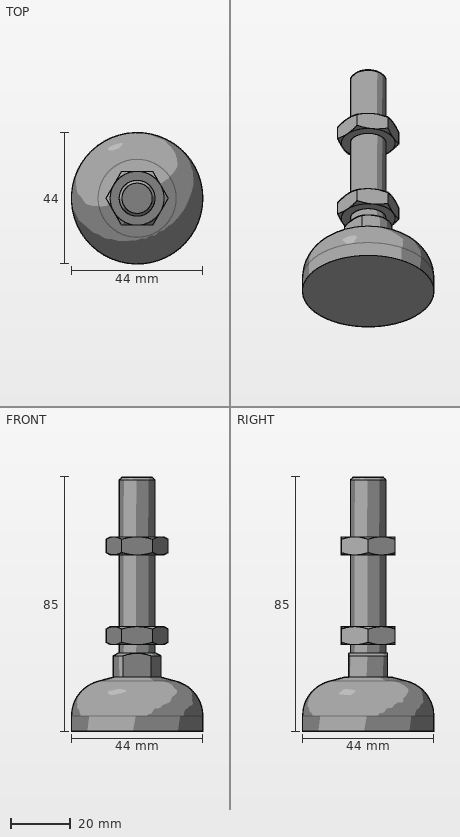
import cadquery as cq
import math


total_height = 85.0
pad_diameter = 44.0

rim_height = 5.1
cone_diameter = 26.1
cone_slope = math.radians(15)

collar_diameter = 16.0
collar_top = 26.3
collar_flat_width = 13.0
collar_chamfer_height = 1.0

stud_diameter = 12.0
stud_chamfer = 0.9

nut_flat_width = 18.0
nut_height = 6.0
nut_bottoms = (29.0, 59.0)

chamfer_slope = math.radians(30)


def make_pad():
    """Short cylindrical rim, rounded shoulder and a cone tangent to it, ending at the collar."""
    rim_radius = pad_diameter / 2
    cone_radius = cone_diameter / 2
    collar_radius = collar_diameter / 2

    shoulder_radius = (rim_radius - cone_radius) / (1 - math.sin(cone_slope))
    center_x = rim_radius - shoulder_radius
    cone_bottom = rim_height + shoulder_radius * math.cos(cone_slope)
    cone_top = cone_bottom + (cone_radius - collar_radius) * math.tan(cone_slope)

    mid_angle = (math.pi / 2 - cone_slope) / 2
    shoulder_middle = (
        center_x + shoulder_radius * math.cos(mid_angle),
        rim_height + shoulder_radius * math.sin(mid_angle),
    )
    return (
        cq.Workplane("XZ")
        .lineTo(rim_radius, 0)
        .lineTo(rim_radius, rim_height)
        .threePointArc(shoulder_middle, (cone_radius, cone_bottom))
        .lineTo(collar_radius, cone_top)
        .lineTo(0, cone_top)
        .close()
        .revolve(360, (0, 0, 0), (0, 1, 0))
    )


def make_collar():
    """Round collar with a chamfered top edge and wrench flats facing -Y and +Y."""
    chamfer_width = collar_chamfer_height / math.tan(chamfer_slope)
    collar_height = collar_top - rim_height
    round_collar = (
        cq.Workplane("XY", origin=(0, 0, rim_height))
        .circle(collar_diameter / 2)
        .extrude(collar_height)
        .faces(">Z")
        .chamfer(collar_chamfer_height, chamfer_width)
    )
    flats = (
        cq.Workplane("XY", origin=(0, 0, rim_height))
        .rect(collar_diameter, collar_flat_width)
        .extrude(collar_height)
    )
    return round_collar.intersect(flats)


def make_stud():
    """Plain stud from inside the pad to the top, chamfered at its end."""
    return (
        cq.Workplane("XY", origin=(0, 0, rim_height))
        .circle(stud_diameter / 2)
        .extrude(total_height - rim_height)
        .faces(">Z")
        .chamfer(stud_chamfer)
    )


def make_nut(bottom):
    """Hexagon nut with two corners on the X axis and turned chamfers on both faces."""
    face_radius = nut_flat_width / 2
    corner_radius = face_radius / math.cos(math.pi / 6)
    chamfer_height = (corner_radius - face_radius) * math.tan(chamfer_slope)
    hexagon = (
        cq.Workplane("XY", origin=(0, 0, bottom))
        .polygon(6, 2 * corner_radius)
        .extrude(nut_height)
    )
    turned_blank = (
        cq.Workplane("XZ", origin=(0, 0, bottom))
        .lineTo(face_radius, 0)
        .lineTo(corner_radius, chamfer_height)
        .lineTo(corner_radius, nut_height - chamfer_height)
        .lineTo(face_radius, nut_height)
        .lineTo(0, nut_height)
        .close()
        .revolve(360, (0, 0, 0), (0, 1, 0))
    )
    return hexagon.intersect(turned_blank)


result = make_pad().union(make_collar()).union(make_stud())
for nut_bottom in nut_bottoms:
    result = result.union(make_nut(nut_bottom))